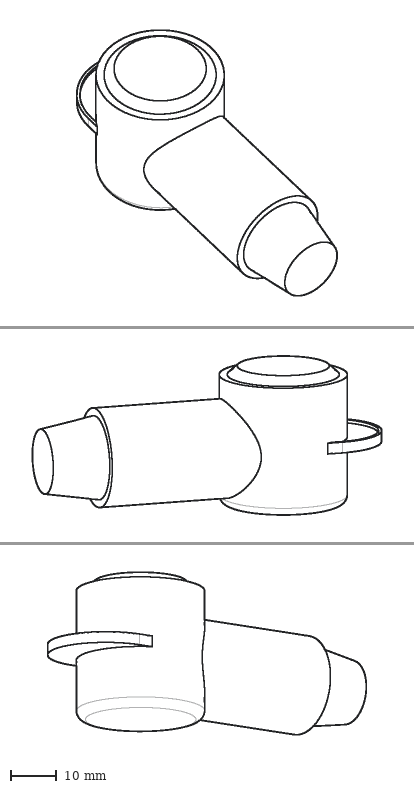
import cadquery as cq

total_height = 30.75
cap_radius = 14.05
crown_height = 1.95
crown_base_radius = 12.3
crown_top_radius = 10.1
base_rounding = 1.95
shoulder_height = total_height - crown_height

arm_radius = 10.95
arm_height = 13.2
arm_end = 43.25
tip_base_radius = 9.25
tip_end_radius = 7.15

tab_reach = 22.05
tab_radius = 12.7
tab_thickness = 2.4
tab_bottom = 13.2
rim_width = 0.7
recess_depth = 0.7
tab_center = tab_radius - tab_reach

overall_length = 77.65
tip_end = overall_length - tab_reach


def make_cap():
    body = cq.Workplane("XY").circle(cap_radius).extrude(shoulder_height)
    body = body.faces("<Z").edges().fillet(base_rounding)
    crown = (
        cq.Workplane("XY", origin=(0, 0, shoulder_height))
        .circle(crown_base_radius)
        .workplane(offset=crown_height)
        .circle(crown_top_radius)
        .loft()
    )
    return body.union(crown)


def make_arm():
    barrel = (
        cq.Workplane("YZ", origin=(0, 0, arm_height))
        .circle(arm_radius)
        .extrude(arm_end)
    )
    tip = (
        cq.Workplane("YZ", origin=(arm_end, 0, arm_height))
        .circle(tip_base_radius)
        .workplane(offset=tip_end - arm_end)
        .circle(tip_end_radius)
        .loft()
    )
    return barrel.union(tip)


def tab_plate(radius, bottom, thickness):
    """Plate with a half-round outer end, running into the cap axis."""
    return (
        cq.Workplane("XY", origin=(0, 0, bottom))
        .moveTo(0, -radius)
        .lineTo(tab_center, -radius)
        .threePointArc((tab_center - radius, 0), (tab_center, radius))
        .lineTo(0, radius)
        .close()
        .extrude(thickness)
    )


def make_tab():
    plate = tab_plate(tab_radius, tab_bottom, tab_thickness)
    recess_floor = tab_bottom + tab_thickness - recess_depth
    recess = tab_plate(tab_radius - rim_width, recess_floor, recess_depth)
    return plate.cut(recess)


result = make_cap().union(make_arm()).union(make_tab())